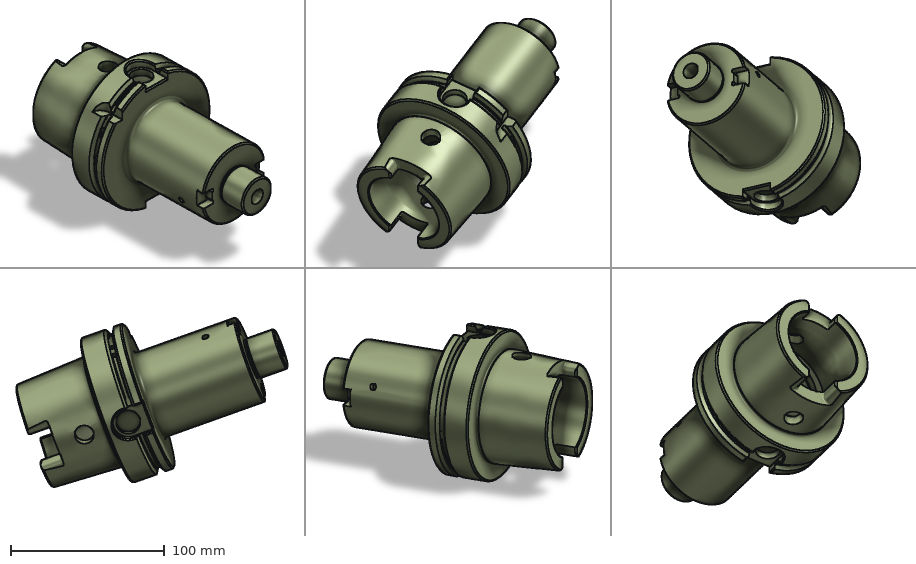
import cadquery as cq
import math


LENGTH = 171.0
TAPER_END = 48.0
FLANGE_START = 50.1
FLANGE_END = 79.0
SHANK_END = 150.0
PILOT_START = 152.2

TAPER_MOUTH_RADIUS = 35.5
TAPER_BIG_RADIUS = 38.0
NECK_RADIUS = 37.5
FLANGE_RADIUS = 100.0 / 2
SHANK_RADIUS = 29.0
PILOT_NECK_RADIUS = 13.2
PILOT_RADIUS = 13.7

EDGE_CHAMFER = 1.0
NECK_FILLET = 1.0
SHANK_FILLET = 2.9
PILOT_NECK_RUNOUT = 1.0

BORE_RADIUS = 26.3
BORE_CHAMFER = 0.7
BORE_END = 19.7
CLAMP_RADIUS = 31.1
CLAMP_ANGLE = 13.0
CLAMP_END = 46.2
RECESS_RADIUS = 25.6
RECESS_CHAMFER = 0.5
RECESS_END = 51.3
TUBE_RADIUS = 11.3
TUBE_CHAMFER = 1.0
TUBE_END = 75.2
COOLANT_RADIUS = 5.3
COOLANT_CHAMFER = 1.4

GROOVE_CENTER = 70.0
GROOVE_FLOOR_WIDTH = 3.2
GROOVE_FILLET = 0.5
GROOVE_FLOOR_RADIUS = 46.0
GROOVE_FLARE_RADIUS = 47.2
GROOVE_MOUTH_WIDTH = 6.7

KEYWAY_HALF_WIDTH = 10.1
KEYWAY_CENTER = 65.0
KEYWAY_FLOOR = 44.0
POCKET_RADIUS = 15.9 / 2
POCKET_DEPTH = 5.0

NOTCH_OFFSET = 31.6
NOTCH_CENTER = 67.0
NOTCH_CUTTER_RADIUS = 8.5

GROOVE_HOLE_ANGLES = (30, 5, -20, -30)
GROOVE_HOLE_RADIUS = 1.7
GROOVE_HOLE_DEPTH = 10.3

TOP_MOUTH_SLOT_DEPTH = 9.7
BOTTOM_MOUTH_SLOT_DEPTH = 14.9
MOUTH_SLOT_HALF_WIDTH = 10.0
MOUTH_SLOT_ROUND = 5.1
MOUTH_SLOT_SHOULDER = 32.3
MOUTH_SLOT_FILLET = 1.4
MOUTH_SLOT_CHAMFER = 1.2

CROSS_HOLE_CENTER = 34.5
CROSS_HOLE_RADIUS = 12.5 / 2

SHANK_SLOT_LENGTH = 5.8
SHANK_SLOT_WIDTH = 11.8
SHANK_SLOT_FLOOR = 20.5
SHANK_SLOT_RELIEF_RADIUS = 1.28

SHANK_HOLE_CENTER = 128.6
SHANK_HOLE_ANGLE = -20.0
SHANK_HOLE_RADIUS = 4.3 / 2
SHANK_HOLE_DEPTH = 5.1

CLEARANCE = 8.5


def turned(profile):
    """Revolve a closed profile, drawn in X and radius, about the X axis."""
    return profile.close().revolve(360, (0, 0, 0), (1, 0, 0))


def radial_hole(x, angle, surface_radius, radius, depth):
    """Flat-bottomed cutter along a radius; the angle runs from -Y towards +Z."""
    outward = cq.Vector(0, -math.cos(math.radians(angle)), math.sin(math.radians(angle)))
    start = cq.Vector(x, 0, 0) + outward * (surface_radius - depth)
    return cq.Workplane(cq.Solid.makeCylinder(radius, depth + CLEARANCE, start, outward))


def opposite(cutter):
    """The same cutter turned half way round the part axis."""
    return cutter.rotate((0, 0, 0), (1, 0, 0), 180)


def flange():
    """Flange disc with its keyways, pockets, groove, notch and chamfered rims."""
    disc = (
        cq.Workplane("YZ", origin=(FLANGE_START, 0, 0))
        .circle(FLANGE_RADIUS)
        .extrude(FLANGE_END - FLANGE_START)
    )
    key = keyway()
    disc = disc.cut(key).cut(opposite(key))
    disc = disc.edges(keyway_rim(1)).chamfer(EDGE_CHAMFER)
    disc = disc.edges(keyway_rim(-1)).chamfer(EDGE_CHAMFER)
    step = keyway_end_chamfer()
    pocket = radial_hole(KEYWAY_CENTER, 90, KEYWAY_FLOOR, POCKET_RADIUS, POCKET_DEPTH)
    disc = disc.cut(step).cut(opposite(step))
    disc = disc.cut(pocket).cut(opposite(pocket))
    disc = disc.intersect(rim_envelope()).cut(groove()).cut(notch())
    for angle in GROOVE_HOLE_ANGLES:
        disc = disc.cut(
            radial_hole(GROOVE_CENTER, angle, GROOVE_FLOOR_RADIUS, GROOVE_HOLE_RADIUS, GROOVE_HOLE_DEPTH)
        )
    return disc


def keyway():
    """Round-ended keyway, open towards the shank."""
    return (
        cq.Workplane("XY", origin=(0, 0, KEYWAY_FLOOR))
        .moveTo(FLANGE_END + CLEARANCE, -KEYWAY_HALF_WIDTH)
        .lineTo(KEYWAY_CENTER, -KEYWAY_HALF_WIDTH)
        .threePointArc(
            (KEYWAY_CENTER - KEYWAY_HALF_WIDTH, 0),
            (KEYWAY_CENTER, KEYWAY_HALF_WIDTH),
        )
        .lineTo(FLANGE_END + CLEARANCE, KEYWAY_HALF_WIDTH)
        .close()
        .extrude(FLANGE_RADIUS)
    )


def keyway_rim(side):
    """Select the edges where a keyway meets the outside of the flange."""
    reach = KEYWAY_HALF_WIDTH + EDGE_CHAMFER
    above_floor = KEYWAY_FLOOR + (FLANGE_RADIUS - KEYWAY_FLOOR) / 2
    low, high = sorted((side * above_floor, side * (FLANGE_RADIUS + EDGE_CHAMFER)))
    return cq.selectors.BoxSelector((FLANGE_START, -reach, low), (FLANGE_END - EDGE_CHAMFER, reach, high))


def keyway_end_chamfer():
    """Bevel where the keyway floor meets the shank-side face."""
    return (
        cq.Workplane("XZ", origin=(0, KEYWAY_HALF_WIDTH, 0))
        .moveTo(FLANGE_END - EDGE_CHAMFER, KEYWAY_FLOOR)
        .lineTo(FLANGE_END, KEYWAY_FLOOR)
        .lineTo(FLANGE_END, KEYWAY_FLOOR - EDGE_CHAMFER)
        .close()
        .extrude(2 * KEYWAY_HALF_WIDTH)
    )


def rim_envelope():
    """Disc with both outer rims bevelled, which trims the flange."""
    return (
        cq.Workplane("YZ", origin=(FLANGE_START, 0, 0))
        .circle(FLANGE_RADIUS)
        .extrude(FLANGE_END - FLANGE_START)
        .edges()
        .chamfer(EDGE_CHAMFER)
    )


def groove():
    """Ring cutter with filleted floor corners, short straight sides and a flared mouth."""
    floor = GROOVE_FLOOR_WIDTH / 2
    mouth = GROOVE_MOUTH_WIDTH / 2
    return turned(
        cq.Workplane("XY")
        .moveTo(GROOVE_CENTER - floor + GROOVE_FILLET, GROOVE_FLOOR_RADIUS)
        .radiusArc((GROOVE_CENTER - floor, GROOVE_FLOOR_RADIUS + GROOVE_FILLET), GROOVE_FILLET)
        .lineTo(GROOVE_CENTER - floor, GROOVE_FLARE_RADIUS)
        .lineTo(GROOVE_CENTER - mouth, FLANGE_RADIUS)
        .lineTo(GROOVE_CENTER - mouth, FLANGE_RADIUS + CLEARANCE)
        .lineTo(GROOVE_CENTER + mouth, FLANGE_RADIUS + CLEARANCE)
        .lineTo(GROOVE_CENTER + mouth, FLANGE_RADIUS)
        .lineTo(GROOVE_CENTER + floor, GROOVE_FLARE_RADIUS)
        .lineTo(GROOVE_CENTER + floor, GROOVE_FLOOR_RADIUS + GROOVE_FILLET)
        .radiusArc((GROOVE_CENTER + floor - GROOVE_FILLET, GROOVE_FLOOR_RADIUS), GROOVE_FILLET)
    )


def notch():
    """Corner cutter with a flat floor, a flat wall and a quarter-round end."""
    diagonal = NOTCH_CUTTER_RADIUS * math.sqrt(0.5)
    wall = -NOTCH_OFFSET
    center = wall - NOTCH_CUTTER_RADIUS
    return (
        cq.Workplane("XY", origin=(0, 0, NOTCH_OFFSET))
        .moveTo(FLANGE_END + CLEARANCE, wall)
        .lineTo(NOTCH_CENTER, wall)
        .threePointArc(
            (NOTCH_CENTER - diagonal, center + diagonal),
            (NOTCH_CENTER - NOTCH_CUTTER_RADIUS, center),
        )
        .lineTo(NOTCH_CENTER - NOTCH_CUTTER_RADIUS, -FLANGE_RADIUS)
        .lineTo(FLANGE_END + CLEARANCE, -FLANGE_RADIUS)
        .close()
        .extrude(FLANGE_RADIUS)
    )


def taper():
    """Solid taper with its relief neck, which runs up to the flange."""
    return turned(
        cq.Workplane("XY")
        .moveTo(0, 0)
        .lineTo(0, TAPER_MOUTH_RADIUS - EDGE_CHAMFER)
        .lineTo(EDGE_CHAMFER, TAPER_MOUTH_RADIUS)
        .lineTo(TAPER_END, TAPER_BIG_RADIUS)
        .lineTo(TAPER_END, NECK_RADIUS)
        .lineTo(FLANGE_START - NECK_FILLET, NECK_RADIUS)
        .radiusArc((FLANGE_START, NECK_RADIUS + NECK_FILLET), -NECK_FILLET)
        .lineTo(FLANGE_START, 0)
    )


def shank():
    """Shank and pilot, with a fillet against the flange."""
    return turned(
        cq.Workplane("XY")
        .moveTo(FLANGE_END, 0)
        .lineTo(FLANGE_END, SHANK_RADIUS + SHANK_FILLET)
        .radiusArc((FLANGE_END + SHANK_FILLET, SHANK_RADIUS), -SHANK_FILLET)
        .lineTo(SHANK_END - EDGE_CHAMFER, SHANK_RADIUS)
        .lineTo(SHANK_END, SHANK_RADIUS - EDGE_CHAMFER)
        .lineTo(SHANK_END, PILOT_NECK_RADIUS)
        .lineTo(PILOT_START - PILOT_NECK_RUNOUT, PILOT_NECK_RADIUS)
        .lineTo(PILOT_START, PILOT_RADIUS)
        .lineTo(LENGTH - EDGE_CHAMFER, PILOT_RADIUS)
        .lineTo(LENGTH, PILOT_RADIUS - EDGE_CHAMFER)
        .lineTo(LENGTH, 0)
    )


def cavity():
    """Mouth bore, undercut for the clamp, recess, tube seat and coolant hole."""
    flare_length = (CLAMP_RADIUS - BORE_RADIUS) / math.tan(math.radians(CLAMP_ANGLE))
    return turned(
        cq.Workplane("XY")
        .moveTo(0, 0)
        .lineTo(0, BORE_RADIUS + BORE_CHAMFER)
        .lineTo(BORE_CHAMFER, BORE_RADIUS)
        .lineTo(BORE_END, BORE_RADIUS)
        .lineTo(BORE_END + flare_length, CLAMP_RADIUS)
        .lineTo(CLAMP_END, CLAMP_RADIUS)
        .lineTo(CLAMP_END, RECESS_RADIUS)
        .lineTo(RECESS_END - RECESS_CHAMFER, RECESS_RADIUS)
        .lineTo(RECESS_END, RECESS_RADIUS - RECESS_CHAMFER)
        .lineTo(RECESS_END, TUBE_RADIUS + TUBE_CHAMFER)
        .lineTo(RECESS_END + TUBE_CHAMFER, TUBE_RADIUS)
        .lineTo(TUBE_END, TUBE_RADIUS)
        .lineTo(TUBE_END, COOLANT_RADIUS + COOLANT_CHAMFER)
        .lineTo(TUBE_END + COOLANT_CHAMFER, COOLANT_RADIUS)
        .lineTo(LENGTH, COOLANT_RADIUS)
        .lineTo(LENGTH, 0)
    )


def mouth_slot(depth):
    """Slot at +Z whose walls roll outwards to a shoulder, filleted at its end."""
    half = MOUTH_SLOT_HALF_WIDTH
    shoulder = half + MOUTH_SLOT_ROUND
    round_start = MOUTH_SLOT_SHOULDER - MOUTH_SLOT_ROUND
    diagonal = MOUTH_SLOT_ROUND * math.sqrt(0.5)
    side = shoulder + CLEARANCE
    top = TAPER_BIG_RADIUS + CLEARANCE
    slot = (
        cq.Workplane("YZ", origin=(-CLEARANCE, 0, 0))
        .moveTo(-half, 0)
        .lineTo(-half, round_start)
        .threePointArc(
            (-shoulder + diagonal, round_start + diagonal),
            (-shoulder, MOUTH_SLOT_SHOULDER),
        )
        .lineTo(-side, MOUTH_SLOT_SHOULDER)
        .lineTo(-side, top)
        .lineTo(side, top)
        .lineTo(side, MOUTH_SLOT_SHOULDER)
        .lineTo(shoulder, MOUTH_SLOT_SHOULDER)
        .threePointArc(
            (shoulder - diagonal, round_start + diagonal),
            (half, round_start),
        )
        .lineTo(half, 0)
        .close()
        .extrude(depth + CLEARANCE)
        .faces(">X")
        .edges()
        .fillet(MOUTH_SLOT_FILLET)
    )
    return slot.union(mouth_slot_lead_in())


def mouth_slot_lead_in():
    """Bevels that widen the flat walls of a mouth slot at the end face."""
    half = MOUTH_SLOT_HALF_WIDTH
    wide = half + MOUTH_SLOT_CHAMFER
    run = MOUTH_SLOT_ROUND - MOUTH_SLOT_CHAMFER
    height = MOUTH_SLOT_SHOULDER - MOUTH_SLOT_ROUND + math.sqrt(MOUTH_SLOT_ROUND**2 - run**2)
    return (
        cq.Workplane("XY")
        .moveTo(0, -wide)
        .lineTo(MOUTH_SLOT_CHAMFER, -half)
        .lineTo(MOUTH_SLOT_CHAMFER, half)
        .lineTo(0, wide)
        .close()
        .extrude(height)
    )


def shank_slot():
    """Driving slot at -Y in the shank end, with a round relief in each floor corner."""
    length = SHANK_SLOT_LENGTH + CLEARANCE
    height = SHANK_RADIUS + CLEARANCE - SHANK_SLOT_FLOOR
    relief_offset = SHANK_SLOT_WIDTH / 2 - SHANK_SLOT_RELIEF_RADIUS
    relief = (
        cq.Workplane("YZ", origin=(SHANK_END - SHANK_SLOT_LENGTH, -SHANK_SLOT_FLOOR, 0))
        .pushPoints([(0, -relief_offset), (0, relief_offset)])
        .circle(SHANK_SLOT_RELIEF_RADIUS)
        .extrude(length)
    )
    return (
        cq.Workplane("XY")
        .box(length, height, SHANK_SLOT_WIDTH, centered=(False, False, True))
        .translate((SHANK_END - SHANK_SLOT_LENGTH, -SHANK_SLOT_FLOOR - height, 0))
        .union(relief)
    )


body = taper().union(flange()).union(shank()).cut(cavity())

body = body.cut(mouth_slot(TOP_MOUTH_SLOT_DEPTH))
body = body.cut(opposite(mouth_slot(BOTTOM_MOUTH_SLOT_DEPTH)))

cross_hole = (
    cq.Workplane("XY", origin=(CROSS_HOLE_CENTER, 0, 0))
    .circle(CROSS_HOLE_RADIUS)
    .extrude(TAPER_BIG_RADIUS + CLEARANCE, both=True)
)
body = body.cut(cross_hole)

drive_slot = shank_slot()
body = body.cut(drive_slot).cut(opposite(drive_slot))

shank_hole = radial_hole(
    SHANK_HOLE_CENTER, SHANK_HOLE_ANGLE, SHANK_RADIUS, SHANK_HOLE_RADIUS, SHANK_HOLE_DEPTH
)
result = body.cut(shank_hole).cut(opposite(shank_hole))